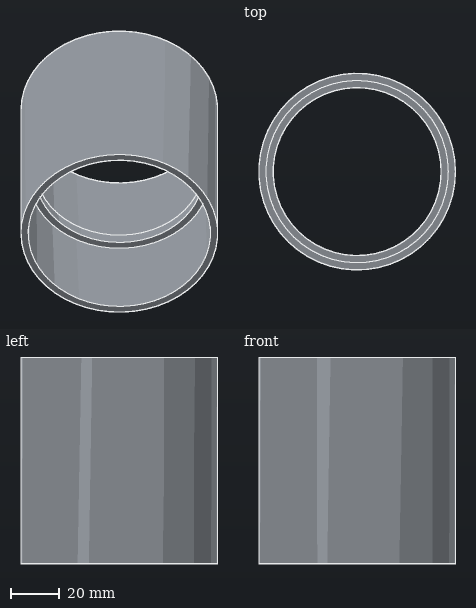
import cadquery as cq

outer_diameter = 81.0
socket_diameter = 75.0
stop_diameter = 69.0
length = 85.0
stop_thickness = 5.0
socket_depth = (length - stop_thickness) / 2


def cylinder(diameter, height, base_z):
    """Solid cylinder on the Z axis, standing on the given height."""
    return cq.Workplane("XY").workplane(offset=base_z).circle(diameter / 2).extrude(height)


body = cylinder(outer_diameter, length, 0)
body = body.cut(cylinder(stop_diameter, length, 0))

for socket_base in (0, length - socket_depth):
    body = body.cut(cylinder(socket_diameter, socket_depth, socket_base))

result = body